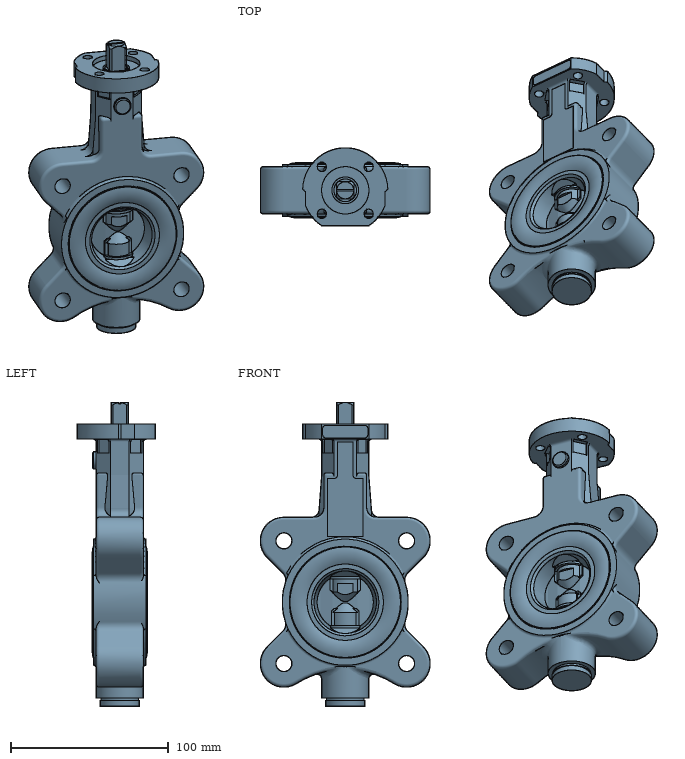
import cadquery as cq
import math


TOTAL_HEIGHT = 192.74
BODY_THICKNESS = 30.0
EDGE_FILLET = 2.0

BOLT_CIRCLE_D = 110.0
LUG_R = 15.0
LUG_HOLE_D = 10.0
LUG_ROOT_FILLET = 6.0
SADDLE_TOP_Z = -42.6

RING_R = 40.0
RING_WIDTH = 33.0
LINER_R = 35.0
LINER_GAP = 0.5
LINER_WIDTH = 35.0
LINER_EDGE_Y = 16.9
LINER_CREST_R = 31.0
LINER_RIM_R = 24.2
LINER_RIM_Y = 15.9
BORE_CHAMFER_R = 21.3
BORE_MOUTH_R = 19.8
BORE_R = 17.8

FLANGE_R = 27.0
FLANGE_BOTTOM_Z = 103.3
FLANGE_THICKNESS = 9.7
FLANGE_FLAT_Y = -22.5
FLANGE_SIDE_X = 25.3
FLANGE_NOTCH_Y = -0.9
FLANGE_BOLT_CIRCLE_D = 42.0
FLANGE_HOLE_D = 5.8
FLANGE_RECESS_D = 30.0
FLANGE_RECESS_DEPTH = 3.0

PLATE_HALF_WIDTH = 13.6
PLATE_TOP_Z = 82.0
PLATE_CORNER_R = 1.5
PLATE_ROOT_R = 6.0
RIB_HALF_WIDTH = 7.2
CORE_HALF_X = 15.0
CORE_SIDE_HALF = 6.0
CORE_TAPER_TOP_Z = 80.5
CORE_TAPER_BOTTOM_Z = 59.5
CORE_FOOT_HALF_X = 16.6
CORE_ROOT_R = 5.0
NECK_FILLET = 1.7
NUT_POCKET_WIDTH = 9.4
NUT_POCKET_DEPTH = 1.4
NUT_POCKET_Z = 94.5

PANEL_NECK_HALF = 5.0
PANEL_HALF = 11.4
PANEL_STEP_Z = 78.5
PANEL_BOTTOM_Z = 41.6
PANEL_HEIGHT = 0.1

NAME_PLATE_WIDTH = 28.6
NAME_PLATE_HEIGHT = 8.0
NAME_PLATE_CORNER_R = 2.0
NAME_PLATE_DEPTH = 0.3

BUTTON_D = 11.0
BUTTON_Z = 89.9
BUTTON_HEIGHT = 2.3
BUTTON_CHAMFER = 0.8

FOOT_D = 30.0
FOOT_FILLET = 3.0
FOOT_BOTTOM_Z = -60.8
CAP_D = 25.0
CAP_NECK_D = 24.0
CAP_TOP_Z = -62.4
CAP_BOTTOM_Z = -66.0

STEM_D = 14.0
STEM_SQUARE = 11.0
STEM_CHAMFER = 0.8
STEM_SLOT = 1.2
GLAND_INNER_D = 14.35
GLAND_OUTER_D = 16.95
GLAND_DEPTH = 2.0

DISC_HALF_THICKNESS = 3.8
DISC_EDGE_HALF = 2.5
DISC_FACE_HALF_X = 15.4
DISC_CORE_HALF_X = 7.9
SEAT_Z = 16.4
SEAT_HALF_Y = 9.0
SEAT_END_HALF_Y = 14.5
BORE_SEAT_Y = 3.0
HUB_R = 9.3
LOWER_HUB_HALF_X = 6.7
HUB_SHOULDER_Z = 6.5
HUB_TIP_R = 3.9
HUB_TIP_Z = 0.4
HUB_FLAT_Y = 7.8
HUB_FLAT_TOP_Z = 12.0
COLLAR_R = 11.0
COLLAR_HALF_X = 9.4
COLLAR_HEIGHT = 1.6
TOP_BLOCK_HALF_X = 9.6
TOP_BLOCK_Z = 6.0
BOTTOM_BLOCK_HALF_X = 8.8
BOTTOM_BLOCK_Z = 4.0
BLOCK_CHAMFER = 1.7
BLOCK_HALF_Y = 5.0

HALF_BODY = BODY_THICKNESS / 2
BOLT_R = BOLT_CIRCLE_D / 2
LUG_CENTER = BOLT_R / math.sqrt(2)
LUG_TOP_Z = LUG_CENTER + LUG_R
CORE_CORNER_X = CORE_HALF_X - RIB_HALF_WIDTH
CORE_CORNER_Y = HALF_BODY - CORE_SIDE_HALF
STEM_TOP_Z = TOTAL_HEIGHT + CAP_BOTTOM_Z
FLANGE_TOP_Z = FLANGE_BOTTOM_Z + FLANGE_THICKNESS
FLANGE_RECESS_Z = FLANGE_TOP_Z - FLANGE_RECESS_DEPTH


def cylinder_z(diameter, z_bottom, z_top):
    return cq.Workplane("XY", origin=(0, 0, z_bottom)).circle(diameter / 2).extrude(z_top - z_bottom)


def box(x_half, y_half, z_bottom, z_top):
    plane = cq.Workplane("XY", origin=(0, 0, z_bottom))
    return plane.rect(2 * x_half, 2 * y_half).extrude(z_top - z_bottom)


def on_diagonal(along, across):
    """Point (x, z) given along the upper right lug diagonal and across it, downward."""
    return (along + across) / math.sqrt(2), (along - across) / math.sqrt(2)


def flip_z(point):
    return point[0], -point[1]


def arc_middle(center, radius, start, end):
    """Middle of the shorter arc from start to end."""
    dx = (start[0] + end[0]) / 2 - center[0]
    dz = (start[1] + end[1]) / 2 - center[1]
    scale = radius / math.hypot(dx, dz)
    return center[0] + dx * scale, center[1] + dz * scale


def body_plate():
    """Lugs and lower neck plate as one outline with rounded front and back edges."""
    root_along = math.sqrt((RING_R + LUG_ROOT_FILLET) ** 2 - (LUG_R + LUG_ROOT_FILLET) ** 2)
    root_across = LUG_R + LUG_ROOT_FILLET
    ring_share = RING_R / (RING_R + LUG_ROOT_FILLET)
    root_center = on_diagonal(root_along, root_across)
    root_start = on_diagonal(root_along, LUG_R)
    root_end = on_diagonal(root_along * ring_share, root_across * ring_share)
    root_middle = arc_middle(root_center, LUG_ROOT_FILLET, root_start, root_end)
    lug_side = on_diagonal(BOLT_R, LUG_R)
    lug_outer = on_diagonal(BOLT_R + LUG_R, 0)

    drop = LUG_CENTER + SADDLE_TOP_Z
    saddle_r = (LUG_CENTER**2 + drop**2 - LUG_R**2) / (2 * (LUG_R + drop))
    saddle_z = SADDLE_TOP_Z - saddle_r
    lug_share = LUG_R / (LUG_R + saddle_r)
    saddle_end = (LUG_CENTER * (1 - lug_share), -LUG_CENTER + (saddle_z + LUG_CENTER) * lug_share)
    saddle_middle = arc_middle((0, saddle_z), saddle_r, saddle_end, (0, SADDLE_TOP_Z))

    plate_root_x = PLATE_HALF_WIDTH + PLATE_ROOT_R
    plate_root_z = LUG_TOP_Z + PLATE_ROOT_R
    plate_root_center = (plate_root_x, plate_root_z)
    plate_root_start = (PLATE_HALF_WIDTH, plate_root_z)
    plate_root_end = (plate_root_x, LUG_TOP_Z)
    plate_root_middle = arc_middle(plate_root_center, PLATE_ROOT_R, plate_root_start, plate_root_end)

    plate = (
        cq.Workplane("XZ")
        .moveTo(0, PLATE_TOP_Z)
        .lineTo(PLATE_HALF_WIDTH - PLATE_CORNER_R, PLATE_TOP_Z)
        .radiusArc((PLATE_HALF_WIDTH, PLATE_TOP_Z - PLATE_CORNER_R), PLATE_CORNER_R)
        .lineTo(*plate_root_start)
        .threePointArc(plate_root_middle, plate_root_end)
        .lineTo(LUG_CENTER, LUG_TOP_Z)
        .threePointArc(lug_outer, lug_side)
        .lineTo(*root_start)
        .threePointArc(root_middle, root_end)
        .lineTo(*flip_z(root_end))
        .threePointArc(flip_z(root_middle), flip_z(root_start))
        .lineTo(*flip_z(lug_side))
        .threePointArc(flip_z(lug_outer), saddle_end)
        .threePointArc(saddle_middle, (0, SADDLE_TOP_Z))
        .mirrorY()
        .extrude(HALF_BODY, both=True)
    )
    return plate.faces("<Y or >Y").edges().fillet(EDGE_FILLET)


def octagon(half_x, z):
    """Neck core section: flats in X and Y joined by sloping corner faces."""
    corner_x = half_x - CORE_CORNER_X
    right = [
        (corner_x, -HALF_BODY),
        (half_x, -CORE_SIDE_HALF),
        (half_x, CORE_SIDE_HALF),
        (corner_x, HALF_BODY),
    ]
    left = [(-x, -y) for x, y in right]
    return cq.Workplane("XY", origin=(0, 0, z)).polyline(right + left).close()


def neck_core():
    """Octagonal column, widening in X towards the lugs, with rounded side roots."""
    column = octagon(CORE_HALF_X, CORE_TAPER_TOP_Z).extrude(FLANGE_BOTTOM_Z - CORE_TAPER_TOP_Z)
    foot_wires = [
        octagon(CORE_FOOT_HALF_X, CORE_TAPER_BOTTOM_Z).val(),
        octagon(CORE_HALF_X, CORE_TAPER_TOP_Z).val(),
    ]
    foot = cq.Workplane(cq.Solid.makeLoft(foot_wires, True))
    base = octagon(CORE_FOOT_HALF_X, 0).extrude(CORE_TAPER_BOTTOM_Z)
    root_x = CORE_FOOT_HALF_X + CORE_ROOT_R
    root_z = LUG_TOP_Z + CORE_ROOT_R
    root = (
        cq.Workplane("XZ")
        .moveTo(0, LUG_TOP_Z - EDGE_FILLET)
        .lineTo(0, root_z)
        .lineTo(CORE_FOOT_HALF_X, root_z)
        .radiusArc((root_x, LUG_TOP_Z), -CORE_ROOT_R)
        .lineTo(root_x, LUG_TOP_Z - EDGE_FILLET)
        .close()
        .extrude(CORE_SIDE_HALF, both=True)
    )
    return column.union(foot).union(base).union(root).union(root.mirror("YZ"))


def cut_nut_pockets(solid):
    """Shallow pockets in the four neck corner faces below the flange holes."""
    middle_x = CORE_HALF_X - CORE_CORNER_X / 2
    middle_y = HALF_BODY - CORE_CORNER_Y / 2
    facing = math.degrees(math.atan2(CORE_CORNER_X, CORE_CORNER_Y))
    pocket = box(NUT_POCKET_DEPTH, NUT_POCKET_WIDTH / 2, NUT_POCKET_Z, FLANGE_BOTTOM_Z)
    for side_x in (-1, 1):
        for side_y in (-1, 1):
            turned = pocket.rotate((0, 0, 0), (0, 0, 1), side_x * side_y * facing)
            solid = solid.cut(turned.translate((side_x * middle_x, side_y * middle_y, 0)))
    return solid


def top_flange():
    """Round flange with a front flat and stepped-in sides."""
    flat_x = math.sqrt(FLANGE_R**2 - FLANGE_FLAT_Y**2)
    side_y = -math.sqrt(FLANGE_R**2 - FLANGE_SIDE_X**2)
    shoulder_y = FLANGE_NOTCH_Y + FLANGE_R - FLANGE_SIDE_X
    shoulder_x = math.sqrt(FLANGE_R**2 - shoulder_y**2)
    low_angle = (math.atan2(FLANGE_FLAT_Y, flat_x) + math.atan2(side_y, FLANGE_SIDE_X)) / 2
    low_middle = (FLANGE_R * math.cos(low_angle), FLANGE_R * math.sin(low_angle))
    return (
        cq.Workplane("XY", origin=(0, 0, FLANGE_BOTTOM_Z))
        .moveTo(-flat_x, FLANGE_FLAT_Y)
        .lineTo(flat_x, FLANGE_FLAT_Y)
        .threePointArc(low_middle, (FLANGE_SIDE_X, side_y))
        .lineTo(FLANGE_SIDE_X, FLANGE_NOTCH_Y)
        .lineTo(shoulder_x, shoulder_y)
        .threePointArc((0, FLANGE_R), (-shoulder_x, shoulder_y))
        .lineTo(-FLANGE_SIDE_X, FLANGE_NOTCH_Y)
        .lineTo(-FLANGE_SIDE_X, side_y)
        .threePointArc((-low_middle[0], low_middle[1]), (-flat_x, FLANGE_FLAT_Y))
        .close()
        .extrude(FLANGE_THICKNESS)
    )


def cut_flange_holes(solid):
    holes = (
        cq.Workplane("XY", origin=(0, 0, FLANGE_BOTTOM_Z))
        .polarArray(FLANGE_BOLT_CIRCLE_D / 2, 45, 360, 4)
        .circle(FLANGE_HOLE_D / 2)
        .extrude(FLANGE_THICKNESS)
    )
    recess = cylinder_z(FLANGE_RECESS_D, FLANGE_RECESS_Z, FLANGE_TOP_Z)
    gland = cylinder_z(GLAND_OUTER_D, FLANGE_RECESS_Z - GLAND_DEPTH, FLANGE_RECESS_Z)
    gland = gland.cut(cylinder_z(GLAND_INNER_D, FLANGE_RECESS_Z - GLAND_DEPTH, FLANGE_RECESS_Z))
    return solid.cut(holes).cut(recess).cut(gland)


def stem():
    """Square drive end with rounded corners, chamfered tip and a position slot."""
    bottom_z = FLANGE_RECESS_Z - GLAND_DEPTH
    rod = cylinder_z(STEM_D, bottom_z, STEM_TOP_Z).faces(">Z").chamfer(2 * STEM_CHAMFER)
    square = box(STEM_SQUARE / 2, STEM_SQUARE / 2, bottom_z, STEM_TOP_Z)
    slot = box(STEM_SQUARE, STEM_SLOT / 2, STEM_TOP_Z - STEM_CHAMFER, STEM_TOP_Z)
    return rod.intersect(square).cut(slot)


def column_and_flange():
    """Neck column blended into the flange above."""
    solid = neck_core().union(top_flange())
    reach = FLANGE_RECESS_D / 2 + EDGE_FILLET
    neck_end = cq.selectors.BoxSelector(
        (-reach, -reach, FLANGE_BOTTOM_Z - EDGE_FILLET / 2),
        (reach, reach, FLANGE_BOTTOM_Z + EDGE_FILLET / 2),
    )
    return solid.edges(neck_end).fillet(NECK_FILLET)


def ring():
    return cq.Workplane("XZ").circle(RING_R).extrude(RING_WIDTH / 2, both=True)


def ring_blend(plate):
    """Concave fillet from the lug faces up to the ring, on both sides."""
    half_ring = RING_WIDTH / 2
    radius = half_ring - HALF_BODY
    flare = (
        cq.Workplane("XY")
        .moveTo(LINER_R + LINER_GAP, HALF_BODY)
        .lineTo(RING_R + radius, HALF_BODY)
        .radiusArc((RING_R, half_ring), radius)
        .lineTo(LINER_R + LINER_GAP, half_ring)
        .close()
        .revolve(360, (0, 0, 0), (0, 1, 0))
    )
    flat_face = plate.faces(">Y").val()
    footprint = cq.Workplane(cq.Solid.extrudeLinear(flat_face, cq.Vector(0, radius, 0)))
    blend = flare.intersect(footprint)
    return blend.union(blend.mirror("XZ"))


def front_panel():
    """Thin raised panel on the front of the neck, narrow above and wide below."""
    return (
        cq.Workplane("XZ", origin=(0, -HALF_BODY, 0))
        .moveTo(0, FLANGE_BOTTOM_Z - NECK_FILLET)
        .lineTo(PANEL_NECK_HALF, FLANGE_BOTTOM_Z - NECK_FILLET)
        .lineTo(PANEL_NECK_HALF, PANEL_STEP_Z + EDGE_FILLET)
        .radiusArc((PANEL_NECK_HALF + EDGE_FILLET, PANEL_STEP_Z), -EDGE_FILLET)
        .lineTo(PANEL_HALF, PANEL_STEP_Z)
        .lineTo(PANEL_HALF, PANEL_BOTTOM_Z)
        .lineTo(0, PANEL_BOTTOM_Z)
        .mirrorY()
        .extrude(PANEL_HEIGHT)
    )


def name_plate_recess():
    plane = cq.Workplane("XZ", origin=(0, FLANGE_FLAT_Y, FLANGE_BOTTOM_Z + FLANGE_THICKNESS / 2))
    recess = plane.rect(NAME_PLATE_WIDTH, NAME_PLATE_HEIGHT).extrude(-NAME_PLATE_DEPTH)
    return recess.edges("|Y").fillet(NAME_PLATE_CORNER_R)


def liner():
    """Rubber liner: bulged lip, dished rim and a bore narrowing to the disc, revolved about Y."""
    half = (
        cq.Workplane("XY")
        .moveTo(BORE_R, 0)
        .lineTo(BORE_R, BORE_SEAT_Y)
        .lineTo(BORE_MOUTH_R, LINER_RIM_Y - (BORE_CHAMFER_R - BORE_MOUTH_R))
        .lineTo(BORE_CHAMFER_R, LINER_RIM_Y)
        .lineTo(LINER_RIM_R, LINER_RIM_Y)
        .threePointArc((LINER_CREST_R, LINER_WIDTH / 2), (LINER_R, LINER_EDGE_Y))
        .lineTo(LINER_R, 0)
        .close()
        .revolve(360, (0, 0, 0), (0, 1, 0))
    )
    return half.union(half.mirror("XZ"))


def stem_seats():
    """Flat seats in the bore above and below the disc, sloping away towards both faces."""
    outline = [
        (-SEAT_END_HALF_Y, BORE_MOUTH_R),
        (-SEAT_HALF_Y, SEAT_Z),
        (SEAT_HALF_Y, SEAT_Z),
        (SEAT_END_HALF_Y, BORE_MOUTH_R),
    ]
    seat = cq.Workplane("YZ").polyline(outline).close().extrude(COLLAR_HALF_X, both=True)
    return seat.union(seat.mirror("XY"))


def disc():
    half = [
        (BORE_R, DISC_EDGE_HALF),
        (DISC_FACE_HALF_X, DISC_EDGE_HALF),
        (DISC_CORE_HALF_X, DISC_HALF_THICKNESS),
    ]
    half = half + [(-x, y) for x, y in reversed(half)]
    outline = half + [(-x, -y) for x, y in half]
    blade = cq.Workplane("XY", origin=(0, 0, -BORE_R)).polyline(outline).close().extrude(2 * BORE_R)
    bore = cq.Workplane("XZ").circle(BORE_R).extrude(BORE_R, both=True)
    return blade.intersect(bore).union(hubs())


def hub_block(half_x, end_z):
    block = box(half_x, BLOCK_HALF_Y, end_z, SEAT_Z)
    return block.faces("<Z").edges("|Y").chamfer(BLOCK_CHAMFER)


def hub():
    """Upper hub as a turned shape: cone from the disc centre, cylinder and collar."""
    collar_z = SEAT_Z - COLLAR_HEIGHT
    return (
        cq.Workplane("XZ")
        .moveTo(0, HUB_TIP_Z)
        .lineTo(HUB_TIP_R, HUB_TIP_Z)
        .lineTo(HUB_R, HUB_SHOULDER_Z)
        .lineTo(HUB_R, collar_z)
        .lineTo(COLLAR_R, collar_z)
        .lineTo(COLLAR_R, SEAT_Z)
        .lineTo(0, SEAT_Z)
        .close()
        .revolve(360, (0, 0, 0), (0, 1, 0))
        .intersect(box(COLLAR_HALF_X, COLLAR_R, 0, SEAT_Z))
    )


def hubs():
    """Stem hubs on the disc: the upper one has two flats, the lower one trimmed sides."""
    upper = hub()
    for side in (-1, 1):
        flat = box(HUB_R, COLLAR_R / 2, 0, HUB_FLAT_TOP_Z)
        upper = upper.cut(flat.translate((0, side * (HUB_FLAT_Y + COLLAR_R / 2), 0)))
    lower = hub()
    for side in (-1, 1):
        trim = box(HUB_R / 2, COLLAR_R, HUB_SHOULDER_Z, SEAT_Z - COLLAR_HEIGHT)
        lower = lower.cut(trim.translate((side * (LOWER_HUB_HALF_X + HUB_R / 2), 0, 0)))
    upper = upper.union(hub_block(TOP_BLOCK_HALF_X, TOP_BLOCK_Z))
    lower = lower.union(hub_block(BOTTOM_BLOCK_HALF_X, BOTTOM_BLOCK_Z))
    return upper.union(lower.mirror("XY"))


def foot():
    return (
        cylinder_z(FOOT_D, FOOT_BOTTOM_Z, -LINER_R)
        .union(cylinder_z(CAP_NECK_D, CAP_TOP_Z, FOOT_BOTTOM_Z))
        .union(cylinder_z(CAP_D, CAP_BOTTOM_Z, CAP_TOP_Z))
    )


def button():
    plane = cq.Workplane("XZ", origin=(0, HALF_BODY, BUTTON_Z))
    return plane.circle(BUTTON_D / 2).extrude(-BUTTON_HEIGHT).faces(">Y").chamfer(BUTTON_CHAMFER)


def lug_holes():
    spacing = 2 * LUG_CENTER
    plane = cq.Workplane("XZ").rect(spacing, spacing, forConstruction=True).vertices()
    return plane.circle(LUG_HOLE_D / 2).extrude(BODY_THICKNESS, both=True)


def liner_opening():
    """Hole through the ring for the liner, leaving shallow grooves around its lips."""
    through = cq.Workplane("XZ").circle(LINER_R).extrude(RING_WIDTH, both=True)
    groove = cq.Workplane("XZ").circle(LINER_R + LINER_GAP).extrude(RING_WIDTH, both=True)
    web = cq.Workplane("XZ").circle(LINER_R + LINER_GAP).extrude(HALF_BODY, both=True)
    return groove.cut(web).union(through)


def blend_foot(solid):
    """Rounds the corner between the hollow under the ring and the foot."""
    reach = FOOT_D / 2 + EDGE_FILLET
    foot_root = cq.selectors.BoxSelector(
        (-reach, -reach, SADDLE_TOP_Z - FOOT_D / 4),
        (reach, reach, -RING_R),
        boundingbox=True,
    )
    return solid.edges(foot_root).fillet(FOOT_FILLET)


def build():
    plate = body_plate()
    solid = cut_nut_pockets(column_and_flange()).union(plate).union(foot())
    solid = blend_foot(solid)
    solid = solid.union(ring()).union(ring_blend(plate)).union(front_panel()).union(button())
    solid = solid.cut(name_plate_recess()).cut(lug_holes()).cut(liner_opening())
    solid = cut_flange_holes(solid).union(stem())
    return solid.union(liner()).union(stem_seats()).union(disc())


result = build()